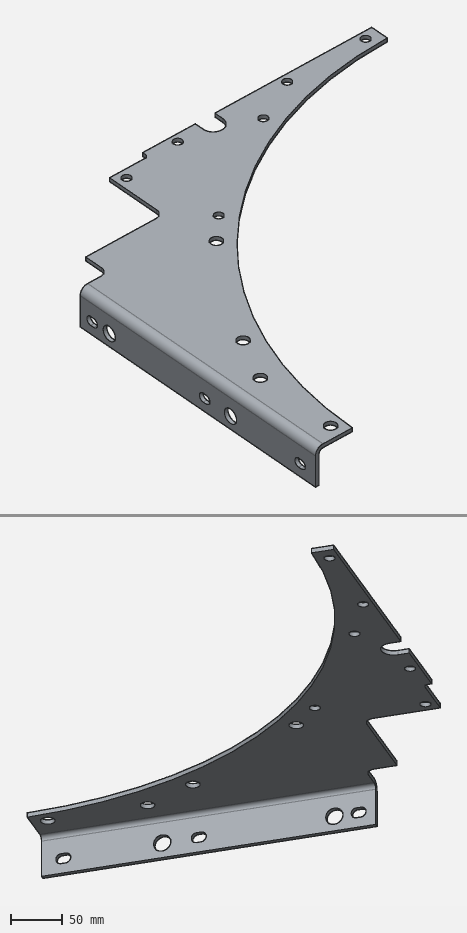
import cadquery as cq

length_x = 464.5
length_y = 490.0
height = 48.5
thickness = 5.0
bend_inner_radius = 5.0
bend_outer_radius = bend_inner_radius + thickness

arc_radius = 441.5
cos_45 = 0.5 ** 0.5

upper_step_x = 8.5
upper_step_y = 189.5
middle_step_x = 87.0
middle_step_y = 138.5
flange_start_x = 120.0
flange_step_y = 36.8
upper_step_radius = 4.0
step_radius = 10.0

notch_width = 25.5
notch_depth = 24.5
notch_y = 271.5

small_hole_diameter = 11.0
large_hole_diameter = 14.0
edge_hole_inset = 10.0
step_hole_x = 19.5
end_hole_inset = 16.5
hole_pitch = 103.0
flange_row_y = 35.0
edge_hole_top_y = length_y - end_hole_inset
row_end_x = length_x - end_hole_inset
small_holes = [
    (edge_hole_inset, edge_hole_top_y),
    (edge_hole_inset, edge_hole_top_y - hole_pitch),
    (edge_hole_inset, 227.0),
    (37.5, 314.0),
    (124.5, 178.0),
    (step_hole_x, 151.0),
]
large_holes = [
    (153.5, 149.0),
    (289.0, 62.0),
    (row_end_x - hole_pitch, flange_row_y),
    (row_end_x, flange_row_y),
]

flange_hole_z = 16.0
flange_hole_diameter = 17.5
flange_hole_xs = [162.5, 340.0]
flange_slot_length = 15.0
flange_slot_width = 11.0
flange_slot_xs = [137.5, 302.5, 442.0]


def bent_sheet():
    """L-shaped sheet with a rounded bend, extruded along X."""
    profile = (
        cq.Workplane("YZ")
        .moveTo(0, 0)
        .lineTo(0, height)
        .lineTo(length_y, height)
        .lineTo(length_y, height - thickness)
        .lineTo(thickness, height - thickness)
        .lineTo(thickness, 0)
        .close()
        .extrude(length_x)
    )
    outer_edge = cq.selectors.NearestToPointSelector((length_x / 2, 0, height))
    inner_edge = cq.selectors.NearestToPointSelector((length_x / 2, thickness, height - thickness))
    return profile.edges(outer_edge).fillet(bend_outer_radius).edges(inner_edge).fillet(bend_inner_radius)


def outline_prism():
    """Full-height prism of the plan outline, with rounded inside corners."""
    arc_middle = (length_x - arc_radius * cos_45, length_y - arc_radius * cos_45)
    prism = (
        cq.Workplane("XY")
        .moveTo(0, length_y)
        .lineTo(0, upper_step_y)
        .lineTo(upper_step_x, upper_step_y)
        .lineTo(upper_step_x, middle_step_y)
        .lineTo(middle_step_x, middle_step_y)
        .lineTo(middle_step_x, flange_step_y)
        .lineTo(flange_start_x, flange_step_y)
        .lineTo(flange_start_x, 0)
        .lineTo(length_x, 0)
        .lineTo(length_x, length_y - arc_radius)
        .threePointArc(arc_middle, (length_x - arc_radius, length_y))
        .close()
        .extrude(height)
    )
    inside_corners = [
        (upper_step_x, upper_step_y, upper_step_radius),
        (middle_step_x, middle_step_y, step_radius),
        (flange_start_x, flange_step_y, step_radius),
    ]
    for x, y, radius in inside_corners:
        corner_edge = cq.selectors.NearestToPointSelector((x, y, height / 2))
        prism = prism.edges(corner_edge).fillet(radius)
    return prism


def plate_holes(points, diameter):
    return cq.Workplane("XY").pushPoints(points).circle(diameter / 2).extrude(height)


def edge_notch():
    return cq.Workplane("XY").center(0, notch_y).slot2D(2 * notch_depth, notch_width).extrude(height)


def flange_openings():
    flange_face = cq.Workplane("XZ")
    holes = (
        flange_face.pushPoints([(x, flange_hole_z) for x in flange_hole_xs])
        .circle(flange_hole_diameter / 2)
        .extrude(-thickness)
    )
    slots = (
        flange_face.pushPoints([(x, flange_hole_z) for x in flange_slot_xs])
        .slot2D(flange_slot_length, flange_slot_width)
        .extrude(-thickness)
    )
    return holes.union(slots)


result = (
    bent_sheet()
    .intersect(outline_prism())
    .cut(plate_holes(small_holes, small_hole_diameter))
    .cut(plate_holes(large_holes, large_hole_diameter))
    .cut(edge_notch())
    .cut(flange_openings())
)